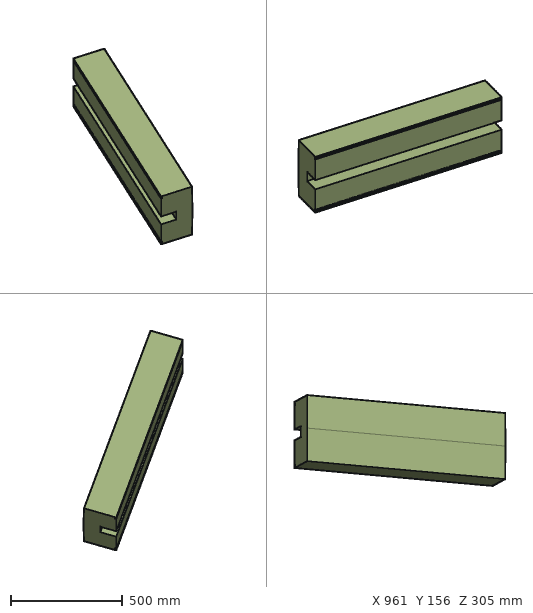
import cadquery as cq

length = 961
depth = 156.0
height = 305.0

ridge_rise = 3.3

slot_width = 50.0
slot_depth = 75.0

groove_margin = 9.0
groove_width = 6.0
groove_depth = 6.0

front = -depth / 2
back = depth / 2
half_height = height / 2


def front_channel(center_z, width, cut_depth):
    """Full-length rectangular channel cut into the front face."""
    return cq.Workplane("XY").box(length, cut_depth, width).translate((0, front + cut_depth / 2, center_z))


def ridged_bar():
    """Bar with a flat front and two back slopes meeting at a ridge at mid-height."""
    shoulder = back - ridge_rise
    return (
        cq.Workplane("YZ", origin=(-length / 2, 0, 0))
        .moveTo(front, -half_height)
        .lineTo(shoulder, -half_height)
        .lineTo(back, 0)
        .lineTo(shoulder, half_height)
        .lineTo(front, half_height)
        .close()
        .extrude(length)
    )


result = ridged_bar().cut(front_channel(0, slot_width, slot_depth))

groove_offset = half_height - groove_margin - groove_width / 2
for side in (-1, 1):
    result = result.cut(front_channel(side * groove_offset, groove_width, groove_depth))